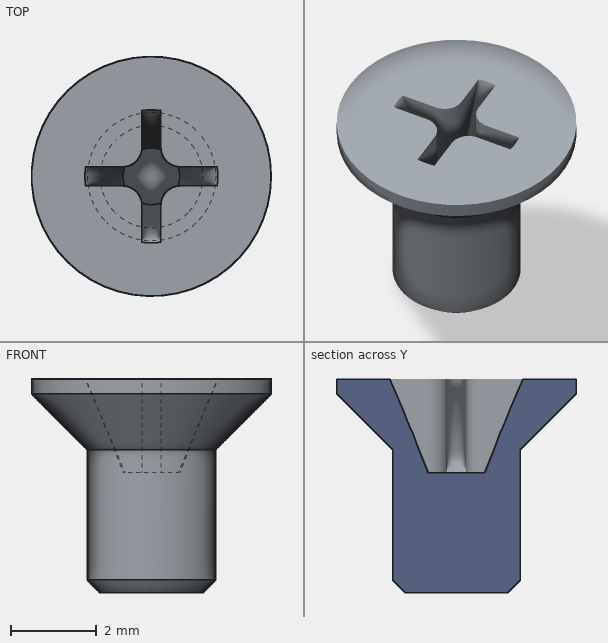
import cadquery as cq

total_height = 5.0
head_diameter = 5.6
shank_diameter = 3.0
rim_height = 0.35
tip_chamfer = 0.3

recess_top_diameter = 3.11
recess_floor_diameter = 1.32
recess_depth = 2.185
slot_width = 0.45
inner_corner_radius = 0.44

head_radius = head_diameter / 2
shank_radius = shank_diameter / 2
cone_height = head_radius - shank_radius
rim_bottom = total_height - rim_height
cone_bottom = rim_bottom - cone_height
recess_floor = total_height - recess_depth


def screw_body():
    """Revolve the half section of the head, shank and chamfered tip."""
    return (
        cq.Workplane("XZ")
        .moveTo(0, 0)
        .lineTo(shank_radius - tip_chamfer, 0)
        .lineTo(shank_radius, tip_chamfer)
        .lineTo(shank_radius, cone_bottom)
        .lineTo(head_radius, rim_bottom)
        .lineTo(head_radius, total_height)
        .lineTo(0, total_height)
        .close()
        .revolve(360, (0, 0, 0), (0, 1, 0))
    )


def cross_recess():
    """Cross with rounded inner corners, its arm ends trimmed by a tapered cone."""
    floor_plane = cq.Workplane("XY").workplane(offset=recess_floor)
    arm_along_x = floor_plane.rect(head_diameter, slot_width).extrude(recess_depth)
    arm_along_y = floor_plane.rect(slot_width, head_diameter).extrude(recess_depth)
    corner_box = cq.selectors.BoxSelector(
        (-slot_width, -slot_width, 0), (slot_width, slot_width, total_height)
    )
    cross = arm_along_x.union(arm_along_y).edges("|Z").edges(corner_box).fillet(inner_corner_radius)
    cone = (
        floor_plane.circle(recess_floor_diameter / 2)
        .workplane(offset=recess_depth)
        .circle(recess_top_diameter / 2)
        .loft(ruled=True)
    )
    return cross.intersect(cone)


result = screw_body().cut(cross_recess())